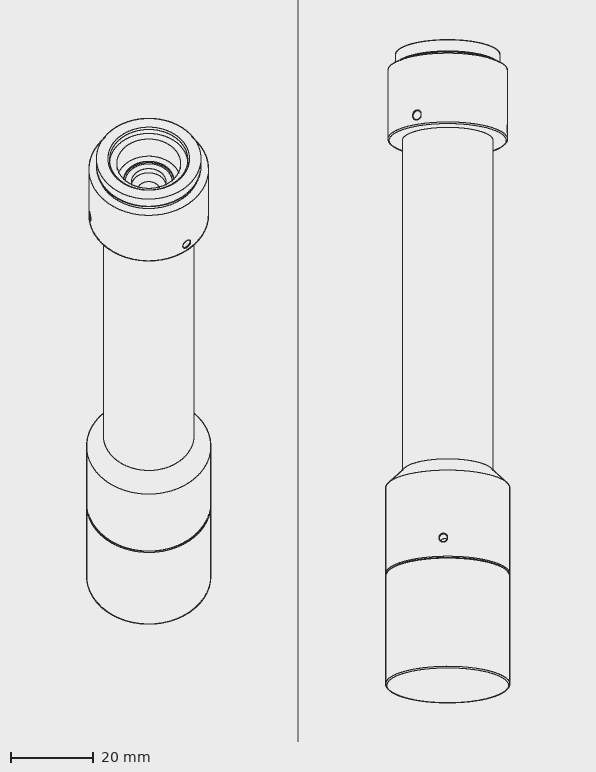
import cadquery as cq
import math

TOTAL_HEIGHT = 159.1
JOINT_Z = 27.8
SHOULDER_Z = 49.8
COLLAR_BOTTOM_Z = 137.5
COLLAR_TOP_Z = 155.1
LIP_BOTTOM_Z = 156.0
TUBE_TOP_Z = 157.2
TUBE_FLOOR_Z = 150.6

BARREL_DIAMETER = 30.0
BARREL_CHAMFER = 0.3
JOINT_CHAMFER = 0.24
TUBE_DIAMETER = 22.0
TUBE_BORE_DIAMETER = 15.5
CONE_HEIGHT = (BARREL_DIAMETER - TUBE_DIAMETER) / 2

COLLAR_DIAMETER = 29.0
COLLAR_CHAMFER = 0.3
NECK_DIAMETER = 24.7
LIP_DIAMETER = 25.3
LIP_CHAMFER = 0.2
MOUTH_DIAMETER = 19.0
MOUTH_CHAMFER = 0.4

HOLE_CHAMFER = 0.2
COLLAR_HOLE_DIAMETER = 2.2
COLLAR_HOLE_Z = 140.1
COLLAR_HOLE_COUNT = 3
FIRST_COLLAR_HOLE_ANGLE = 90
BARREL_HOLE_DIAMETER = 1.9
BARREL_HOLE_Z = 32.8
BARREL_HOLE_ANGLE = 117

RECESS_DIAMETER = 12.2
RECESS_DEPTH = 0.5
MOUNT_DIAMETER = 11.5
MOUNT_HEIGHT = 4.8
WELL_DIAMETER = 8.5
WELL_DEPTH = 1.6
APERTURE_DIAMETER = 5.4
LENS_CURVE_RADIUS = 25.5
COUNTERSINK_DEPTH = (WELL_DIAMETER - APERTURE_DIAMETER) / 2
MOUNT_TOP_Z = TUBE_FLOOR_Z - RECESS_DEPTH
MOUNT_BOTTOM_Z = MOUNT_TOP_Z - MOUNT_HEIGHT
WELL_BOTTOM_Z = MOUNT_TOP_Z - WELL_DEPTH
LENS_RIM_Z = WELL_BOTTOM_Z - COUNTERSINK_DEPTH


def cylinder(diameter, bottom_z, top_z):
    """A cylinder on the Z axis between two heights."""
    return cq.Workplane("XY").workplane(offset=bottom_z).circle(diameter / 2).extrude(top_z - bottom_z)


def frustum(bottom_diameter, top_diameter, bottom_z, height):
    """A truncated cone on the Z axis."""
    base = cq.Vector(0, 0, bottom_z)
    return cq.Workplane(cq.Solid.makeCone(bottom_diameter / 2, top_diameter / 2, height, base))


def radial_hole_cutter(bore_diameter, angle, z, outer_diameter):
    """A bore from the Z axis out to a cylindrical surface, with a 45 degree chamfer at its mouth."""
    direction = cq.Vector(math.cos(math.radians(angle)), math.sin(math.radians(angle)), 0)
    center = cq.Vector(0, 0, z)
    surface_radius = outer_diameter / 2
    bore_radius = bore_diameter / 2
    bore = cq.Solid.makeCylinder(bore_radius, surface_radius, center, direction)
    chamfer_start = center + direction * (surface_radius - HOLE_CHAMFER)
    chamfer = cq.Solid.makeCone(
        bore_radius, bore_radius + 2 * HOLE_CHAMFER, 2 * HOLE_CHAMFER, chamfer_start, direction
    )
    return cq.Workplane(bore).union(cq.Workplane(chamfer))


def make_lower_barrel():
    barrel = cylinder(BARREL_DIAMETER, 0, JOINT_Z)
    return barrel.faces("<Z").chamfer(BARREL_CHAMFER).faces(">Z").chamfer(JOINT_CHAMFER)


def make_upper_barrel():
    """A sleeve around the tube, with a conical top and one screw hole."""
    body = cylinder(BARREL_DIAMETER, JOINT_Z, SHOULDER_Z).faces("<Z").chamfer(JOINT_CHAMFER)
    cone = frustum(BARREL_DIAMETER, TUBE_DIAMETER, SHOULDER_Z, CONE_HEIGHT)
    tube_bore = cylinder(TUBE_DIAMETER, JOINT_Z, SHOULDER_Z + CONE_HEIGHT)
    hole = radial_hole_cutter(BARREL_HOLE_DIAMETER, BARREL_HOLE_ANGLE, BARREL_HOLE_Z, BARREL_DIAMETER)
    return body.union(cone).cut(tube_bore).cut(hole)


def make_tube():
    """The long tube, whose top bore steps down to the seat of the lens mount."""
    tube = cylinder(TUBE_DIAMETER, JOINT_Z, TUBE_TOP_Z)
    bore = cylinder(TUBE_BORE_DIAMETER, TUBE_FLOOR_Z, TUBE_TOP_Z)
    recess = cylinder(RECESS_DIAMETER, MOUNT_TOP_Z, TUBE_FLOOR_Z)
    seat = cylinder(MOUNT_DIAMETER, MOUNT_BOTTOM_Z, MOUNT_TOP_Z)
    return tube.cut(bore).cut(recess).cut(seat)


def make_collar():
    """The collar on the tube's top end, with a grooved neck, a lip and three screw holes."""
    body = cylinder(COLLAR_DIAMETER, COLLAR_BOTTOM_Z, COLLAR_TOP_Z).faces("<Z").chamfer(COLLAR_CHAMFER)
    neck = cylinder(NECK_DIAMETER, COLLAR_TOP_Z, LIP_BOTTOM_Z)
    lip = cylinder(LIP_DIAMETER, LIP_BOTTOM_Z, TOTAL_HEIGHT).faces("<Z").chamfer(LIP_CHAMFER)
    collar = body.union(neck).union(lip)

    tube_bore = cylinder(TUBE_DIAMETER, COLLAR_BOTTOM_Z, TUBE_TOP_Z)
    mouth = cylinder(MOUTH_DIAMETER, TUBE_TOP_Z, TOTAL_HEIGHT)
    mouth_chamfer = frustum(
        MOUTH_DIAMETER, MOUTH_DIAMETER + 2 * MOUTH_CHAMFER, TOTAL_HEIGHT - MOUTH_CHAMFER, MOUTH_CHAMFER
    )
    collar = collar.cut(tube_bore).cut(mouth).cut(mouth_chamfer)

    for index in range(COLLAR_HOLE_COUNT):
        angle = FIRST_COLLAR_HOLE_ANGLE + index * 360 / COLLAR_HOLE_COUNT
        collar = collar.cut(
            radial_hole_cutter(COLLAR_HOLE_DIAMETER, angle, COLLAR_HOLE_Z, COLLAR_DIAMETER)
        )
    return collar


def make_lens_mount():
    """A ring set in the tube, with a straight well and a countersink down to the aperture."""
    mount = cylinder(MOUNT_DIAMETER, MOUNT_BOTTOM_Z, MOUNT_TOP_Z)
    well = cylinder(WELL_DIAMETER, WELL_BOTTOM_Z, MOUNT_TOP_Z)
    countersink = frustum(APERTURE_DIAMETER, WELL_DIAMETER, LENS_RIM_Z, COUNTERSINK_DEPTH)
    aperture = cylinder(APERTURE_DIAMETER, MOUNT_BOTTOM_Z, LENS_RIM_Z)
    return mount.cut(well).cut(countersink).cut(aperture)


def make_lens():
    """A lens that fills the aperture, with a concave spherical top."""
    lens = cylinder(APERTURE_DIAMETER, MOUNT_BOTTOM_Z, LENS_RIM_Z)
    center_above_rim = math.sqrt(LENS_CURVE_RADIUS**2 - (APERTURE_DIAMETER / 2) ** 2)
    ball = cq.Workplane("XY").sphere(LENS_CURVE_RADIUS).translate((0, 0, LENS_RIM_Z + center_above_rim))
    return lens.cut(ball)


lower_barrel = make_lower_barrel()
upper_barrel = make_upper_barrel()
tube = make_tube()
collar = make_collar()
lens_mount = make_lens_mount()
lens = make_lens()

result = cq.Compound.makeCompound(
    [
        lower_barrel.val(),
        upper_barrel.val(),
        tube.val(),
        collar.val(),
        lens_mount.val(),
        lens.val(),
    ]
)